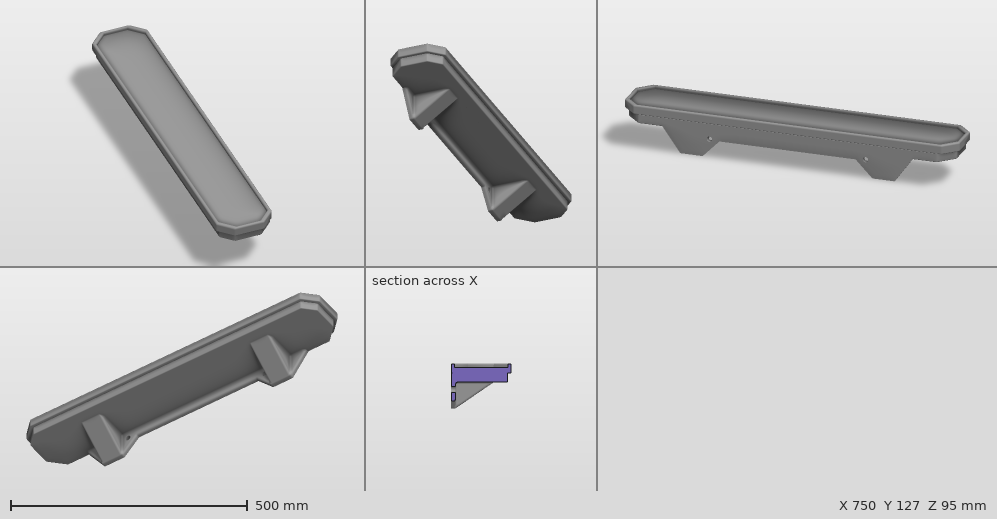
import cadquery as cq
import math

length = 750.0
depth = 127.0
height = 95.0

slab_thickness = 20.0
body_thickness = 19.5
corner_cut = 30.0
body_inset = 7.5
corner_radius = 5.0
rim_radius = 4.0
rim_crest = 0.4
rim_corner_crest = 2.6
recess_depth = 7.5
edge_radius = 2.0

plate_thickness = 10.0
web_bottom = 38.0
gusset_offset = 215.0
gusset_width = 50.0
gusset_reach = 91.0
outer_flare = 40.0
inner_flare = 37.5
blend_radius = 4.5
hole_diameter = 12.0
hole_offset = 175.0
hole_height = 40.5

back_y = depth / 2
body_top = height - slab_thickness
body_bottom = body_top - body_thickness
plate_front = back_y - plate_thickness
rim_width = 2 * rim_radius + rim_crest
rim_corner_width = 2 * rim_radius + rim_corner_crest
gusset_tip = back_y - gusset_reach
foot_inside = gusset_offset - gusset_width / 2
foot_outside = gusset_offset + gusset_width / 2
plate_end = foot_outside + outer_flare


def cut_corner_outline(inset, back_inset, corner_inset, bottom):
    """Outline with 45-degree corners; the back side and the corners have their own insets."""
    x = length / 2 - inset
    front = -depth / 2 + inset
    back = back_y - back_inset
    slope_sum = length / 2 + depth / 2 - corner_cut - corner_inset * math.sqrt(2)
    points = [
        (-x, front + (x - front) - slope_sum),
        (-(slope_sum + front), front),
        (slope_sum + front, front),
        (x, x - slope_sum),
        (x, slope_sum - x),
        (slope_sum - back, back),
        (back - slope_sum, back),
        (-x, slope_sum - x),
    ]
    return cq.Workplane("XY", origin=(0, 0, bottom)).polyline(points).close()


def make_slab():
    slab = cut_corner_outline(0, 0, 0, body_top).extrude(slab_thickness)
    slab = slab.edges("|Z").fillet(corner_radius)
    recess = cut_corner_outline(rim_width, rim_width, rim_corner_width, height).extrude(-recess_depth)
    slab = slab.cut(recess)
    slab = slab.faces(">Z").edges().fillet(rim_radius)
    return slab.faces("<Z").edges().fillet(edge_radius)


def make_body():
    body = cut_corner_outline(body_inset, 0, body_inset, body_bottom).extrude(body_thickness)
    body = body.edges("|Z").fillet(corner_radius)
    return body.faces("<Z").edges().fillet(edge_radius)


def make_plate():
    """Back plate: a shallow web between two deeper feet that flare towards the top.

    It runs up inside the body, so the two join flush at the back.
    """
    half = [
        (foot_inside - inner_flare, web_bottom),
        (foot_inside, 0),
        (foot_outside, 0),
        (plate_end, body_bottom),
        (plate_end, body_top),
    ]
    mirrored = [(-x, z) for x, z in reversed(half)]
    return (
        cq.Workplane("XZ", origin=(0, back_y, 0))
        .polyline(mirrored + half)
        .close()
        .extrude(plate_thickness)
    )


def make_gusset(x):
    """Triangular gusset from the foot of the plate to the underside of the body."""
    profile = [
        (back_y, 0),
        (plate_front, 0),
        (gusset_tip, body_bottom),
        (back_y, body_bottom),
    ]
    return (
        cq.Workplane("YZ", origin=(x - gusset_width / 2, 0, 0))
        .polyline(profile)
        .close()
        .extrude(gusset_width)
    )


def blend_bracket(part):
    """Round the bracket's front edges, corners and inside joints; its back face stays sharp."""
    margin = 1.0
    bracket_edges = cq.selectors.BoxSelector(
        (-plate_end + margin, gusset_tip - margin, -margin),
        (plate_end - margin, back_y - margin, body_bottom + margin),
    )
    return part.edges(bracket_edges).fillet(blend_radius)


def drill_plate(part):
    """Two mounting holes through the plate, just inside the gussets."""
    holes = (
        cq.Workplane("XZ", origin=(0, back_y, hole_height))
        .pushPoints([(-hole_offset, 0), (hole_offset, 0)])
        .circle(hole_diameter / 2)
        .extrude(2 * plate_thickness)
    )
    return part.cut(holes)


result = make_slab().union(make_body()).union(make_plate())
for side in (-1, 1):
    result = result.union(make_gusset(side * gusset_offset))
result = drill_plate(blend_bracket(result))